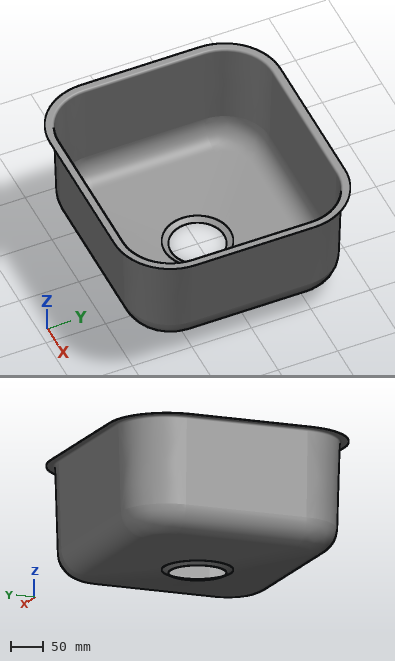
import cadquery as cq
import math

CORE_LENGTH = 240.0
CORE_WIDTH = 200.0

SHEET = 1.0
DEPTH = 190.0

RIM_RADIUS = 94.0
LIP_BEND = 4.2
WALL_TOP_RADIUS = 80.5
WALL_DRAFT = 1.7
BOWL_DEPTH = 177.5
BOWL_FILLET = 39.0

CUP_DEPTH = 185.0
CUP_RADIUS = 55.0
DRAIN_RADIUS = 44.5
CUP_SIDE_ANGLE = 20.0


def rounded_outline(radius, z):
    """Sketch of the core rectangle grown by radius, at height z."""
    outline = cq.Sketch().rect(CORE_LENGTH + 2 * radius, CORE_WIDTH + 2 * radius)
    outline = outline.vertices().fillet(radius)
    return cq.Workplane("XY").workplane(offset=z).placeSketch(outline)


def floor_outline(radius, z):
    """Rounded rectangle as eight edges, starting on the +X side."""
    half_length = CORE_LENGTH / 2
    half_width = CORE_WIDTH / 2
    diagonal = radius * math.sqrt(0.5)
    outline = cq.Workplane("XY").workplane(offset=z).moveTo(half_length + radius, -half_width)
    corners = [(1, 1), (-1, 1), (-1, -1), (1, -1)]
    for x_side, y_side in corners:
        on_x_side = (x_side * (half_length + radius), y_side * half_width)
        on_y_side = (x_side * half_length, y_side * (half_width + radius))
        middle = (x_side * (half_length + diagonal), y_side * (half_width + diagonal))
        first, last = (on_x_side, on_y_side) if x_side * y_side > 0 else (on_y_side, on_x_side)
        outline = outline.lineTo(*first).threePointArc(middle, last)
    return outline.wire().val()


def cup_outline(radius, z):
    """Circle as eight arcs that pair with the edges of the floor outline."""
    def point(angle):
        return (radius * math.cos(math.radians(angle)), radius * math.sin(math.radians(angle)))

    circle = cq.Workplane("XY").workplane(offset=z).moveTo(*point(-CUP_SIDE_ANGLE))
    for facing in (0, 90, 180, 270):
        side_end = facing + CUP_SIDE_ANGLE
        corner_end = facing + 90 - CUP_SIDE_ANGLE
        circle = circle.threePointArc(point(facing), point(side_end))
        circle = circle.threePointArc(point(facing + 45), point(corner_end))
    return circle.wire().val()


def floor_edge_radius(inset, height):
    """Corner radius of the outline where the bowl fillet runs out onto the floor."""
    wall_foot_radius = WALL_TOP_RADIUS - inset - height * math.tan(math.radians(WALL_DRAFT))
    half_turn = math.radians((90 - WALL_DRAFT) / 2)
    return wall_foot_radius - (BOWL_FILLET - inset) * math.tan(half_turn)


def bowl_body(inset):
    """Solid filling the bowl, shrunk by inset at the walls and raised by inset at the floor."""
    height = BOWL_DEPTH - inset
    cup_top = inset - CUP_DEPTH
    walls = rounded_outline(WALL_TOP_RADIUS - inset, 0).extrude(-height, taper=WALL_DRAFT)
    walls = walls.faces("<Z").edges().fillet(BOWL_FILLET - inset)
    floor_edge = floor_outline(floor_edge_radius(inset, height), -height)
    floor = cq.Solid.makeLoft([floor_edge, cup_outline(CUP_RADIUS, cup_top)], True)
    cup = cq.Solid.makeCone(
        CUP_RADIUS, DRAIN_RADIUS, DEPTH - CUP_DEPTH, cq.Vector(0, 0, cup_top), cq.Vector(0, 0, -1)
    )
    return walls.union(floor).union(cup)


def wall_edges_at(z):
    """Selector for the edges at height z where the bowl wall meets the rim."""
    margin = SHEET / 2
    reach = WALL_TOP_RADIUS + margin
    x_limit = CORE_LENGTH / 2 + reach
    y_limit = CORE_WIDTH / 2 + reach
    low_corner = (-x_limit, -y_limit, z - margin)
    high_corner = (x_limit, y_limit, z + margin)
    return cq.selectors.BoxSelector(low_corner, high_corner, boundingbox=True)


rim = rounded_outline(RIM_RADIUS, 0).extrude(-SHEET)
filled_sink = rim.union(bowl_body(0))
filled_sink = filled_sink.edges(wall_edges_at(-SHEET)).fillet(LIP_BEND - SHEET)
sink = filled_sink.cut(bowl_body(SHEET))
sink = sink.edges(wall_edges_at(0)).fillet(LIP_BEND)

drain_hole = cq.Workplane("XY").circle(DRAIN_RADIUS).extrude(-DEPTH)
result = sink.cut(drain_hole)